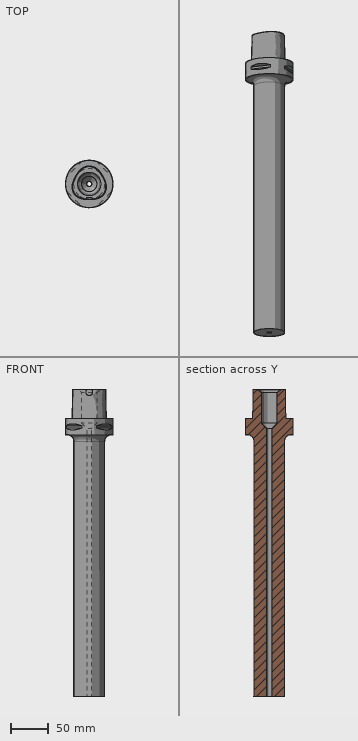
import cadquery as cq
import math

TOTAL_HEIGHT = 406.0
SHANK_HEIGHT = 38.0
FLANGE_HEIGHT = 22.0
FLANGE_TOP = TOTAL_HEIGHT - SHANK_HEIGHT
FLANGE_BOTTOM = FLANGE_TOP - FLANGE_HEIGHT

FLANGE_RADIUS = 63.0 / 2
SHAFT_DIAMETER = 41.0
SHAFT_RADIUS = SHAFT_DIAMETER / 2
NECK_FILLET = 8.5

SHANK_BASE_RADIUS = 22.5
SHANK_TOP_RADIUS = 21.5
LOBE_HEIGHT = 1.5
LOBE_COUNT = 3
LOBE_DIRECTION = math.pi / 2

GROOVE_COUNT = 4
GROOVE_FIRST_ANGLE = 45
GROOVE_DEPTH = 3.45
GROOVE_MOUTH = 8.0
GROOVE_FLOOR = 3.0
GROOVE_Z = 356.5

MOUTH_RADIUS = 15.5
MOUTH_CHAMFER = 1.2
CONE_TOP_RADIUS = 14.0
ENTRY_DEPTH = 4.0
PILOT_RADIUS = 10.0
PILOT_DEPTH = 44.5
COOLANT_RADIUS = 3.2

NOTCH_RADIUS = 4.5
NOTCH_NECK_WIDTH = 7.0
NOTCH_CENTRE_DEPTH = 3.5
NOTCH_CUT_DEPTH = 2.0


def lobed_section(mean_radius):
    """Radius swelling smoothly at each lobe, as a parametric curve."""
    def point(fraction):
        angle = 2 * math.pi * fraction
        radius = mean_radius + LOBE_HEIGHT * math.cos(LOBE_COUNT * (angle - LOBE_DIRECTION))
        return radius * math.cos(angle), radius * math.sin(angle)
    return point


def make_shank():
    return (
        cq.Workplane("XY", origin=(0, 0, FLANGE_TOP))
        .parametricCurve(lobed_section(SHANK_BASE_RADIUS))
        .workplane(offset=SHANK_HEIGHT)
        .parametricCurve(lobed_section(SHANK_TOP_RADIUS))
        .loft(ruled=True, combine=True)
    )


def make_shaft_and_flange():
    fillet_end_radius = SHAFT_RADIUS + NECK_FILLET
    fillet_start_z = FLANGE_BOTTOM - NECK_FILLET
    diagonal = NECK_FILLET * math.sqrt(0.5)
    fillet_middle = (fillet_end_radius - diagonal, fillet_start_z + diagonal)
    return (
        cq.Workplane("XZ")
        .lineTo(SHAFT_RADIUS, 0)
        .lineTo(SHAFT_RADIUS, fillet_start_z)
        .threePointArc(fillet_middle, (fillet_end_radius, FLANGE_BOTTOM))
        .lineTo(FLANGE_RADIUS, FLANGE_BOTTOM)
        .lineTo(FLANGE_RADIUS, FLANGE_TOP)
        .lineTo(0, FLANGE_TOP)
        .close()
        .revolve(360, (0, 0), (0, 1))
    )


def make_bore():
    """Chamfered mouth, tapered entry, cylindrical pilot, conical bottom and through coolant hole."""
    entry_z = TOTAL_HEIGHT - ENTRY_DEPTH
    pilot_z = TOTAL_HEIGHT - PILOT_DEPTH
    cone_z = pilot_z - (PILOT_RADIUS - COOLANT_RADIUS)
    return (
        cq.Workplane("XZ")
        .lineTo(COOLANT_RADIUS, 0)
        .lineTo(COOLANT_RADIUS, cone_z)
        .lineTo(PILOT_RADIUS, pilot_z)
        .lineTo(PILOT_RADIUS, entry_z)
        .lineTo(CONE_TOP_RADIUS, TOTAL_HEIGHT - MOUTH_CHAMFER)
        .lineTo(MOUTH_RADIUS, TOTAL_HEIGHT)
        .lineTo(0, TOTAL_HEIGHT)
        .close()
        .revolve(360, (0, 0), (0, 1))
    )


def make_groove(angle):
    """Straight V-sided groove with a flat floor, crossing the flange rim."""
    floor_x = FLANGE_RADIUS - GROOVE_DEPTH
    return (
        cq.Workplane("XZ")
        .moveTo(floor_x, GROOVE_Z - GROOVE_FLOOR / 2)
        .lineTo(FLANGE_RADIUS, GROOVE_Z - GROOVE_MOUTH / 2)
        .lineTo(FLANGE_RADIUS, GROOVE_Z + GROOVE_MOUTH / 2)
        .lineTo(floor_x, GROOVE_Z + GROOVE_FLOOR / 2)
        .close()
        .extrude(FLANGE_RADIUS, both=True)
        .rotate((0, 0, 0), (0, 0, 1), angle)
    )


def make_notch():
    """Round pocket opening upward through a narrower neck."""
    centre_z = TOTAL_HEIGHT - NOTCH_CENTRE_DEPTH
    floor_y = -(SHANK_TOP_RADIUS - LOBE_HEIGHT - NOTCH_CUT_DEPTH)
    plane = cq.Workplane("XZ", origin=(0, floor_y, centre_z))
    neck = plane.center(0, NOTCH_CENTRE_DEPTH / 2).rect(NOTCH_NECK_WIDTH, NOTCH_CENTRE_DEPTH)
    cut_length = 2 * NOTCH_CUT_DEPTH
    pocket = cq.Workplane("XZ", origin=(0, floor_y, centre_z)).circle(NOTCH_RADIUS)
    return neck.extrude(cut_length).union(pocket.extrude(cut_length))


result = make_shaft_and_flange().union(make_shank()).cut(make_bore()).cut(make_notch())
for index in range(GROOVE_COUNT):
    result = result.cut(make_groove(GROOVE_FIRST_ANGLE + index * 360 / GROOVE_COUNT))